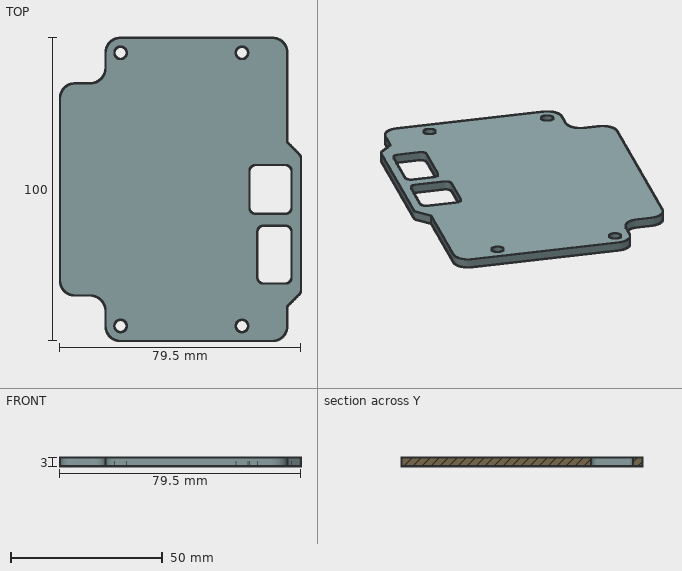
import cadquery as cq

length = 100.0
body_width = 60.0
thickness = 3.0
corner_radius = 5.0
body_left = -body_width / 2
body_right = body_width / 2

left_tab_reach = 15.0
left_tab_length = 70.0

right_tab_reach = 4.5
right_tab_bottom = -38.5
right_tab_top = 15.5
tab_corner_radius = 2.0

hole_diameter = 4.0
hole_inset = 5.0
hole_spacing_x = 40.0

window_edge_margin = 3.2
window_radius = 2.0
upper_window_width = 13.8
upper_window_bottom = -8.0
upper_window_top = 8.0
lower_window_width = 11.2
lower_window_bottom = -31.0
lower_window_top = -12.0


def make_left_tab():
    """Tab overlapping the plate, reaching past its -X edge."""
    outer_x = body_left - left_tab_reach
    return (
        cq.Workplane("XY")
        .box(-outer_x, left_tab_length, thickness, centered=(False, True, False))
        .translate((outer_x, 0, 0))
    )


def make_right_tab():
    """Tab with 45 degree ends and rounded outer corners."""
    outer_x = body_right + right_tab_reach
    tab = (
        cq.Workplane("XY")
        .moveTo(0, right_tab_bottom)
        .lineTo(body_right, right_tab_bottom)
        .lineTo(outer_x, right_tab_bottom + right_tab_reach)
        .lineTo(outer_x, right_tab_top - right_tab_reach)
        .lineTo(body_right, right_tab_top)
        .lineTo(0, right_tab_top)
        .close()
        .extrude(thickness)
    )
    return tab.edges("|Z and >X").fillet(tab_corner_radius)


def make_window(width, bottom, top):
    """Rounded rectangular cutter lined up with the +X edge."""
    right = body_right + right_tab_reach - window_edge_margin
    return (
        cq.Workplane("XY")
        .center(right - width / 2, (bottom + top) / 2)
        .rect(width, top - bottom)
        .extrude(thickness)
        .edges("|Z")
        .fillet(window_radius)
    )


plate = cq.Workplane("XY").box(body_width, length, thickness, centered=(True, True, False))
plate = plate.union(make_left_tab()).edges("|Z").fillet(corner_radius)
plate = plate.union(make_right_tab())

plate = plate.cut(make_window(upper_window_width, upper_window_bottom, upper_window_top))
plate = plate.cut(make_window(lower_window_width, lower_window_bottom, lower_window_top))

result = (
    plate.faces(">Z")
    .workplane(origin=(body_left + hole_inset + hole_spacing_x / 2, 0, thickness))
    .rarray(hole_spacing_x, length - 2 * hole_inset, 2, 2)
    .hole(hole_diameter)
)